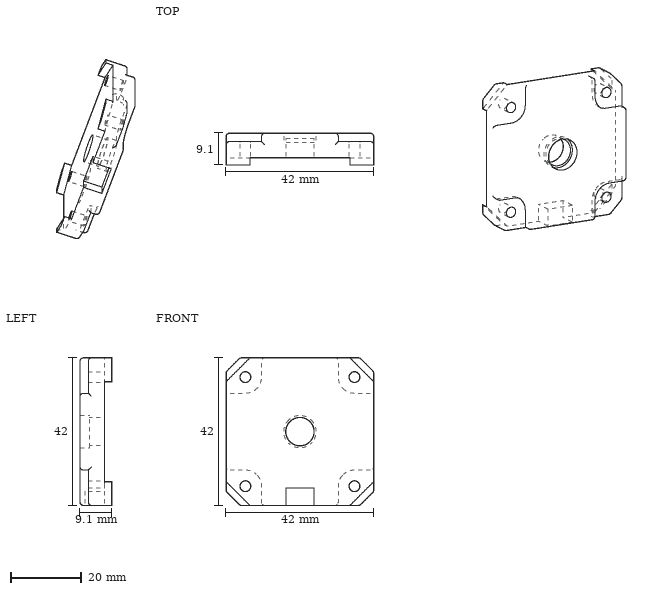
import cadquery as cq
import math

width = 42.0
thickness = 9.1
half_width = width / 2
corner_cut = 4.0
edge_radius = 1.0

lug_height = 2.1
lug_band = 2.0

screw_offset = 15.5
screw_diameter = 3.0
pocket_radius = 4.6
pocket_depth = 2.4

bore_diameter = 8.0
counterbore_diameter = 9.2
bore_length = 4.3
slot_width = 8.0
slot_height = 5.0
slot_depth = 5.5

tolerance = 0.01

front_y = -thickness / 2
plate_y = front_y + lug_height
back_y = thickness / 2
corner_signs = [(sx, sz) for sx in (-1, 1) for sz in (-1, 1)]


def plane_at(y):
    """X-Z sketch plane at the given Y whose extrusions run toward +Y."""
    return cq.Workplane(cq.Plane(origin=(0, y, 0), xDir=(1, 0, 0), normal=(0, 1, 0)))


def octagon(y, length, cut):
    """Square prism with its four corners cut off at 45 degrees."""
    prism = plane_at(y).rect(width, width).extrude(length)
    return prism.edges("|Y").chamfer(cut)


def corner_pocket(sx, sz):
    """Corner clearance cut, rounded concentric with the screw hole."""
    size = 2 * (half_width - screw_offset + pocket_radius)
    pocket = plane_at(back_y - pocket_depth).rect(size, size).extrude(pocket_depth)
    pocket = pocket.edges("|Y").fillet(pocket_radius)
    return pocket.translate((sx * half_width, 0, sz * half_width))


def on_outline(point):
    """True when a point lies on one of the eight outer side faces."""
    x, z = abs(point.x), abs(point.z)
    on_flat = max(x, z) > half_width - tolerance
    on_corner = x + z > width - corner_cut - tolerance
    return on_flat or on_corner


def needs_rounding(edge):
    """Pick the back-face edges and every outline edge behind the front face."""
    middle = edge.positionAt(0.5)
    on_back = middle.y > back_y - tolerance
    behind_front = middle.y > front_y + tolerance
    return on_back or (behind_front and on_outline(middle))


def rounded_body():
    """Block with corner pockets and its outer edges rounded, front edges sharp."""
    body = octagon(front_y, thickness, corner_cut)
    for sx, sz in corner_signs:
        body = body.cut(corner_pocket(sx, sz))
    edges = [edge for edge in body.edges().vals() if needs_rounding(edge)]
    return body.newObject(edges).fillet(edge_radius)


def front_recess():
    """Cut that lowers the front face everywhere except the corner lugs."""
    return octagon(front_y, lug_height, corner_cut + lug_band * math.sqrt(2))


def screw_holes():
    """Four through holes, one in each corner pocket."""
    points = [(sx * screw_offset, sz * screw_offset) for sx, sz in corner_signs]
    return plane_at(front_y).pushPoints(points).circle(screw_diameter / 2).extrude(thickness)


def stepped_bore():
    """Central through bore, wider toward the back."""
    bore = plane_at(front_y).circle(bore_diameter / 2).extrude(thickness)
    wide_start = plate_y + bore_length
    wide = plane_at(wide_start).circle(counterbore_diameter / 2).extrude(back_y - wide_start)
    return bore.union(wide)


def wire_slot():
    """Blind slot in the middle of the bottom edge, open to the front and below."""
    slot = cq.Workplane("XY").box(slot_width, slot_depth, slot_height)
    return slot.translate((0, plate_y + slot_depth / 2, (slot_height - width) / 2))


result = (
    rounded_body()
    .cut(front_recess())
    .cut(screw_holes())
    .cut(stepped_bore())
    .cut(wire_slot())
)